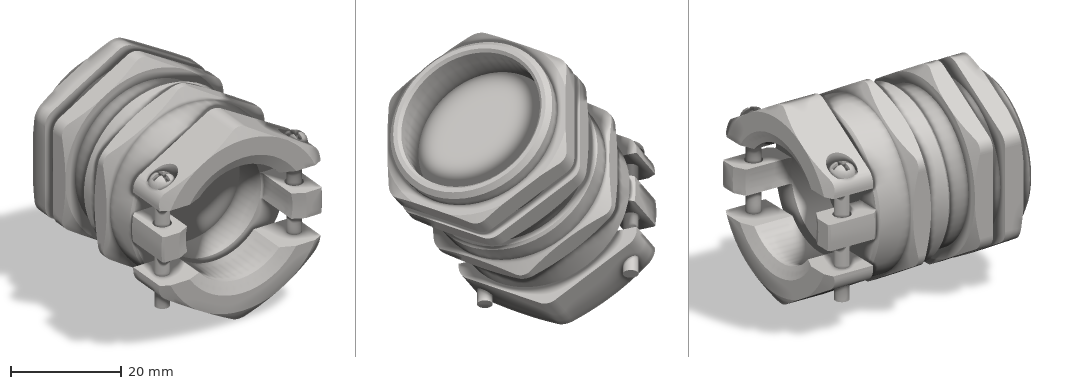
import cadquery as cq
import math


ACROSS_FLATS = 35.0
FLAT_RADIUS = ACROSS_FLATS / 2
CORNER_ROUND = 3.0
HEX_CORNER_RADIUS = FLAT_RADIUS / math.cos(math.radians(30))
BEVEL_SLOPE = math.tan(math.radians(30))

OVERALL_LENGTH = 45.7
LOCKNUT_START = 3.35
HEX_NUT_WIDTH = 4.0
LOCKNUT_END = LOCKNUT_START + HEX_NUT_WIDTH
GROOVE_START = 8.5
GROOVE_BOTTOM_X = 9.05
BODY_NUT_START = 9.95
BODY_NUT_END = BODY_NUT_START + HEX_NUT_WIDTH
CAP_START = 18.8
CAP_HEX_START = 23.2
CAP_HEX_END = 27.75
CAP_END = 34.75
CLAMP_START = 36.15

THREAD_RADIUS = 31.85 / 2
NECK_RADIUS = 30.85 / 2
CAP_RADIUS = 34.0 / 2
THREAD_CHAMFER = 0.9
GROOVE_DEPTH = 0.45
CAP_CHAMFER = 0.5

LOCKNUT_FACE_RADIUS = 18.0
LOCKNUT_BEVEL_SLOPE = math.tan(math.radians(20))
BEVEL_FACE_RADIUS = 17.55

ENTRY_BORE_RADIUS = 27.3 / 2
ENTRY_BORE_CHAMFER = 0.55
ENTRY_BORE_DEPTH = 8.45
CABLE_BORE_RADIUS = 22.5 / 2
CABLE_BORE_FLOOR = CAP_HEX_END
MOUTH_RADIUS = 13.9
MOUTH_FLARE_DEPTH = 1.25

LUG_HALF_HEIGHT = 2.6
LUG_INNER_RADIUS = 11.6
LUG_ROOT_RADIUS = CAP_RADIUS - CAP_CHAMFER
LUG_ROOT_TAPER = FLAT_RADIUS - LUG_ROOT_RADIUS
LUG_TIP_CHAMFER = 0.35
LUG_HOLE_DIAMETER = 3.5

JAW_GAP_HALF = 7.7
SCREW_X = 40.85
SCREW_Y = 14.35
SCREW_DIAMETER = 2.85
SCREW_BOTTOM_Z = -14.35
HEAD_SEAT_Z = 10.7
HEAD_DIAMETER = 5.03
HEAD_HEIGHT = 2.0
HEAD_ROUND = 1.95
RECESS_DIAMETER = 5.75
CROSS_WIDTH = 0.95
CROSS_LENGTH = 4.05
CROSS_DEPTH = 1.2


def revolve_about_x(points):
    """Solid of revolution about X from a closed list of (x, radius) points."""
    return cq.Workplane("XY").polyline(points).close().revolve(360, (0, 0, 0), (1, 0, 0))


def slab_about_axis(half_height):
    """Flat slab along X as wide as the hexagon, centred on the gland axis."""
    slab = cq.Workplane("XY").box(OVERALL_LENGTH, ACROSS_FLATS, 2 * half_height)
    return slab.translate((OVERALL_LENGTH / 2, 0, 0))


def hex_prism(start, end):
    """Hexagonal prism along X with rounded corners."""
    hexagon = cq.Workplane("YZ", origin=(start, 0, 0)).polygon(6, 2 * HEX_CORNER_RADIUS)
    prism = hexagon.extrude(end - start)
    return prism.rotate((0, 0, 0), (1, 0, 0), 90).edges("|X").fillet(CORNER_ROUND)


def beveled_hex(start, end, start_radius=None, end_radius=None, slope=BEVEL_SLOPE):
    """Hex prism whose corners are cut by a cone at each end that has a face radius."""
    outline = [(start, 0)]
    if start_radius:
        start_run = (HEX_CORNER_RADIUS - start_radius) * slope
        outline += [(start, start_radius), (start + start_run, HEX_CORNER_RADIUS)]
    else:
        outline += [(start, HEX_CORNER_RADIUS)]
    if end_radius:
        end_run = (HEX_CORNER_RADIUS - end_radius) * slope
        outline += [(end - end_run, HEX_CORNER_RADIUS), (end, end_radius)]
    else:
        outline += [(end, HEX_CORNER_RADIUS)]
    outline += [(end, 0)]
    return hex_prism(start, end).intersect(revolve_about_x(outline))


def gland_core():
    """Turned outline: chamfered thread, groove with a rounded shoulder, neck and cap."""
    groove_radius = THREAD_RADIUS - GROOVE_DEPTH
    shoulder_run = BODY_NUT_START - GROOVE_BOTTOM_X
    arc_share = math.sqrt(0.5)
    shoulder_mid = (
        BODY_NUT_START - shoulder_run * arc_share,
        groove_radius + GROOVE_DEPTH * arc_share,
    )
    outline = (
        cq.Workplane("XY")
        .lineTo(0, THREAD_RADIUS - THREAD_CHAMFER)
        .lineTo(THREAD_CHAMFER, THREAD_RADIUS)
        .lineTo(GROOVE_START, THREAD_RADIUS)
        .lineTo(GROOVE_BOTTOM_X, groove_radius)
        .threePointArc(shoulder_mid, (BODY_NUT_START, THREAD_RADIUS))
        .lineTo(BODY_NUT_START, NECK_RADIUS)
        .lineTo(CAP_START, NECK_RADIUS)
        .lineTo(CAP_START, CAP_RADIUS - CAP_CHAMFER)
        .lineTo(CAP_START + CAP_CHAMFER, CAP_RADIUS)
        .lineTo(CAP_END - CAP_CHAMFER, CAP_RADIUS)
        .lineTo(CAP_END, CAP_RADIUS - CAP_CHAMFER)
        .lineTo(CAP_END, 0)
        .close()
    )
    return outline.revolve(360, (0, 0, 0), (1, 0, 0))


def entry_bore():
    """Blind bore at the thread end, with a chamfered mouth."""
    return revolve_about_x([
        (0, 0),
        (0, ENTRY_BORE_RADIUS + ENTRY_BORE_CHAMFER),
        (ENTRY_BORE_CHAMFER, ENTRY_BORE_RADIUS),
        (ENTRY_BORE_DEPTH, ENTRY_BORE_RADIUS),
        (ENTRY_BORE_DEPTH, 0),
    ])


def cable_passage():
    """Blind bore into the cap, widening between the lugs and flaring at the +X mouth."""
    root_step = LUG_INNER_RADIUS - CABLE_BORE_RADIUS
    return revolve_about_x([
        (CABLE_BORE_FLOOR, 0),
        (CABLE_BORE_FLOOR, CABLE_BORE_RADIUS),
        (CAP_END, CABLE_BORE_RADIUS),
        (CAP_END + root_step, LUG_INNER_RADIUS),
        (OVERALL_LENGTH - MOUTH_FLARE_DEPTH, LUG_INNER_RADIUS),
        (OVERALL_LENGTH, MOUTH_RADIUS),
        (OVERALL_LENGTH, 0),
    ])


def lugs():
    """Two opposite segments of a ring, each with a clearance hole for a screw."""
    ring = revolve_about_x([
        (CAP_END, 0),
        (CAP_END, LUG_ROOT_RADIUS),
        (CAP_END + LUG_ROOT_TAPER, FLAT_RADIUS),
        (OVERALL_LENGTH - LUG_TIP_CHAMFER, FLAT_RADIUS),
        (OVERALL_LENGTH, FLAT_RADIUS - LUG_TIP_CHAMFER),
        (OVERALL_LENGTH, 0),
    ])
    slab = slab_about_axis(LUG_HALF_HEIGHT)
    segments = ring.intersect(slab)
    for side in (-1, 1):
        hole = cq.Workplane("XY", origin=(SCREW_X, side * SCREW_Y, -LUG_HALF_HEIGHT))
        segments = segments.cut(hole.circle(LUG_HOLE_DIAMETER / 2).extrude(2 * LUG_HALF_HEIGHT))
    return segments


def make_gland():
    """Gland with its locknut, body hexagon, cap hexagon and lugs as one solid."""
    locknut = beveled_hex(
        LOCKNUT_START, LOCKNUT_END, start_radius=LOCKNUT_FACE_RADIUS, slope=LOCKNUT_BEVEL_SLOPE
    )
    body_nut = beveled_hex(BODY_NUT_START, BODY_NUT_END, end_radius=BEVEL_FACE_RADIUS)
    cap_hex = beveled_hex(CAP_HEX_START, CAP_HEX_END, start_radius=CAP_RADIUS, end_radius=CAP_RADIUS)
    outside = gland_core().union(locknut).union(body_nut).union(cap_hex)
    return outside.union(lugs()).cut(entry_bore()).cut(cable_passage())


def make_screw(y):
    """Round-headed screw along Z with a cross recess."""
    seat = cq.Workplane("XY", origin=(SCREW_X, y, HEAD_SEAT_Z))
    shank = seat.circle(SCREW_DIAMETER / 2).extrude(SCREW_BOTTOM_Z - HEAD_SEAT_Z)
    head = seat.circle(HEAD_DIAMETER / 2).extrude(HEAD_HEIGHT).faces(">Z").edges().fillet(HEAD_ROUND)
    slot_floor = seat.workplane(offset=HEAD_HEIGHT - CROSS_DEPTH)
    slot_x = slot_floor.rect(CROSS_LENGTH, CROSS_WIDTH).extrude(CROSS_DEPTH)
    slot_y = slot_floor.rect(CROSS_WIDTH, CROSS_LENGTH).extrude(CROSS_DEPTH)
    return shank.union(head.cut(slot_x).cut(slot_y))


def make_clamp():
    """Upper and lower jaws cut from one hexagon around the cable passage, joined by the two screws."""
    jaws = beveled_hex(CLAMP_START, OVERALL_LENGTH, end_radius=BEVEL_FACE_RADIUS)
    gap = slab_about_axis(JAW_GAP_HALF)
    jaws = jaws.cut(gap).cut(cable_passage())
    for side in (-1, 1):
        recess = cq.Workplane("XY", origin=(SCREW_X, side * SCREW_Y, HEAD_SEAT_Z))
        jaws = jaws.cut(recess.circle(RECESS_DIAMETER / 2).extrude(HEX_CORNER_RADIUS))
        jaws = jaws.union(make_screw(side * SCREW_Y))
    return jaws


gland = make_gland()
clamp = make_clamp()

result = cq.Compound.makeCompound([gland.val(), clamp.val()])